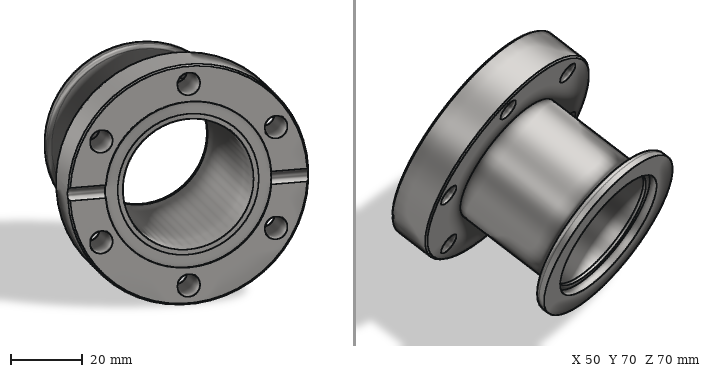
import cadquery as cq
import math

total_length = 50.0

tube_outer_radius = 41.0 / 2
bore_radius = 38.0 / 2

clamp_radius = 55.0 / 2
clamp_rim_width = 1.95
clamp_round = 1.5
clamp_cone_angle = math.radians(15)
clamp_recess_radius = 41.2 / 2
clamp_recess_depth = 2.5
clamp_ledge_thickness = 1.0
tube_start = clamp_recess_depth + clamp_ledge_thickness

flange_radius = 70 / 2
flange_thickness = 13.0
flange_chamfer = 0.5
flange_start = total_length - flange_thickness
seal_recess_radius = 48.3 / 2
seal_recess_depth = 0.5
tube_end = total_length - seal_recess_depth
bolt_hole_radius = 6.6 / 2
bolt_circle_radius = 58.7 / 2
bolt_count = 6

groove_width = 3.8
groove_depth = 1.0


def cylinder(radius, start, end):
    """Solid cylinder on the X axis between two X positions."""
    return cq.Workplane("YZ", origin=(start, 0, 0)).circle(radius).extrude(end - start)


def make_tube():
    return cylinder(tube_outer_radius, tube_start, tube_end).cut(
        cylinder(bore_radius, tube_start, tube_end)
    )


def make_clamp_flange():
    turn = math.pi / 2 - clamp_cone_angle
    center_radius = clamp_radius - clamp_round

    def arc_point(angle):
        return (
            clamp_rim_width + clamp_round * math.sin(angle),
            center_radius + clamp_round * math.cos(angle),
        )

    cone_x, cone_radius = arc_point(turn)
    back_x = cone_x + (cone_radius - tube_outer_radius) * math.tan(clamp_cone_angle)
    body = (
        cq.Workplane("XY")
        .moveTo(0, 0)
        .lineTo(0, clamp_radius)
        .lineTo(clamp_rim_width, clamp_radius)
        .threePointArc(arc_point(turn / 2), (cone_x, cone_radius))
        .lineTo(back_x, tube_outer_radius)
        .lineTo(back_x, 0)
        .close()
        .revolve(360, (0, 0, 0), (1, 0, 0))
    )
    recess = cylinder(clamp_recess_radius, 0, clamp_recess_depth)
    bore = cylinder(bore_radius, 0, tube_start)
    tube_socket = cylinder(tube_outer_radius, tube_start, back_x)
    return body.cut(recess).cut(bore).cut(tube_socket)


def make_leak_groove():
    """Cutter for the groove, kept outside the seal recess."""
    groove_radius = ((groove_width / 2) ** 2 + groove_depth**2) / (2 * groove_depth)
    center_x = total_length - groove_depth + groove_radius
    bar = (
        cq.Workplane("XZ")
        .center(center_x, 0)
        .circle(groove_radius)
        .extrude(flange_radius, both=True)
    )
    return bar.cut(cylinder(seal_recess_radius, flange_start, center_x + groove_radius))


def make_bolted_flange():
    body = cylinder(flange_radius, flange_start, total_length).edges().chamfer(flange_chamfer)
    bolt_holes = (
        cq.Workplane("YZ", origin=(flange_start, 0, 0))
        .polarArray(bolt_circle_radius, 90, 360, bolt_count)
        .circle(bolt_hole_radius)
        .extrude(flange_thickness)
    )
    tube_hole = cylinder(tube_outer_radius, flange_start, total_length)
    seal_recess = cylinder(seal_recess_radius, tube_end, total_length)
    return body.cut(tube_hole).cut(seal_recess).cut(bolt_holes).cut(make_leak_groove())


tube = make_tube()
clamp_flange = make_clamp_flange()
bolted_flange = make_bolted_flange()

result = cq.Compound.makeCompound([tube.val(), clamp_flange.val(), bolted_flange.val()])